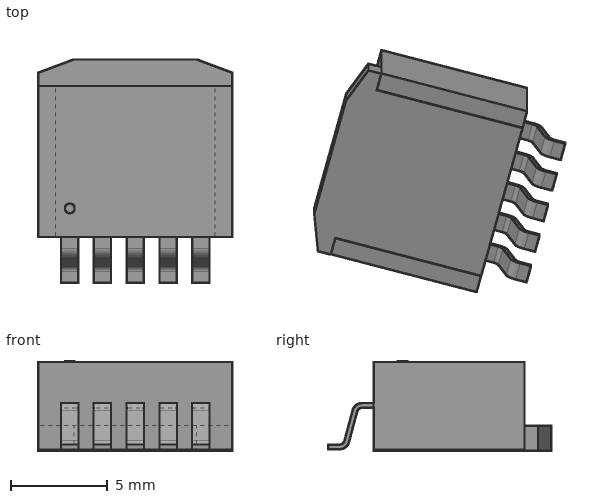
import cadquery as cq
import math

width = 10.03
length = 11.53
height = 4.64

housing_front = 2.35
housing_rear = 10.15
standoff = 0.08
mark_height = 0.03
housing_top = height - mark_height

tab_thickness = 1.3
pad_inset = 0.91
tab_corner_x = 1.85
tab_corner_y = 0.69

mark_diameter = 0.51
mark_from_side = 1.64
mark_from_front = 1.49

lead_count = 5
lead_pitch = 1.7
lead_width = 0.9
lead_thickness = 0.25
lead_top = 2.48
lead_bottom = standoff
lead_slope = math.radians(75)
bend_inner_radius = 0.27
bend_outer_radius = bend_inner_radius + lead_thickness
foot_flat = 0.59


def make_slug():
    """Thick tab with cut rear corners, plus the thin pad running forward under the housing."""
    half_tab = width / 2
    right_side = [
        (half_tab, housing_rear),
        (half_tab, length - tab_corner_y),
        (half_tab - tab_corner_x, length),
    ]
    left_side = [(-x, y) for x, y in reversed(right_side)]
    tab = cq.Workplane("XY").polyline(right_side + left_side).close().extrude(tab_thickness)
    pad = (
        cq.Workplane("XY")
        .box(width - 2 * pad_inset, housing_rear - housing_front, standoff, centered=(True, False, False))
        .translate((0, housing_front, 0))
    )
    return tab.union(pad)


def make_housing():
    """Plain block resting on the pad of the slug."""
    return (
        cq.Workplane("XY")
        .box(width, housing_rear - housing_front, housing_top - standoff, centered=(True, False, False))
        .translate((0, housing_front, standoff))
    )


def make_mark():
    """Thin raised disc on the housing top."""
    return (
        cq.Workplane("XY", origin=(0, 0, housing_top))
        .center(mark_from_side - width / 2, housing_front + mark_from_front)
        .circle(mark_diameter / 2)
        .extrude(mark_height)
    )


def make_lead(x_center):
    """Bent strip of constant thickness: shoulder, sloping leg and foot."""
    foot_top = lead_bottom + lead_thickness
    shoulder_bottom = lead_top - lead_thickness
    half_angle_tan = math.tan(lead_slope / 2)

    knee_inner_y = foot_flat + bend_inner_radius * half_angle_tan
    shoulder_outer_y = knee_inner_y + (lead_top - foot_top) / math.tan(lead_slope)
    corner_shift = lead_thickness * half_angle_tan
    knee_outer = (knee_inner_y + corner_shift, lead_bottom)
    knee_inner = (knee_inner_y, foot_top)
    shoulder_outer = (shoulder_outer_y, lead_top)
    shoulder_inner = (shoulder_outer_y + corner_shift, shoulder_bottom)

    strip = (
        cq.Workplane("YZ", origin=(x_center - lead_width / 2, 0, 0))
        .polyline([
            (0, lead_bottom),
            knee_outer,
            shoulder_inner,
            (housing_front, shoulder_bottom),
            (housing_front, lead_top),
            shoulder_outer,
            knee_inner,
            (0, foot_top),
        ])
        .close()
        .extrude(lead_width)
    )

    def round_bend(solid, corner, radius):
        edge = cq.selectors.NearestToPointSelector((x_center, *corner))
        return solid.edges("|X").edges(edge).fillet(radius)

    strip = round_bend(strip, knee_outer, bend_outer_radius)
    strip = round_bend(strip, knee_inner, bend_inner_radius)
    strip = round_bend(strip, shoulder_outer, bend_outer_radius)
    return round_bend(strip, shoulder_inner, bend_inner_radius)


slug = make_slug()
housing = make_housing()
mark = make_mark()
leads = [make_lead((i - (lead_count - 1) / 2) * lead_pitch) for i in range(lead_count)]

result = cq.Compound.makeCompound([
    housing.val(),
    slug.val(),
    mark.val(),
    *[lead.val() for lead in leads],
])